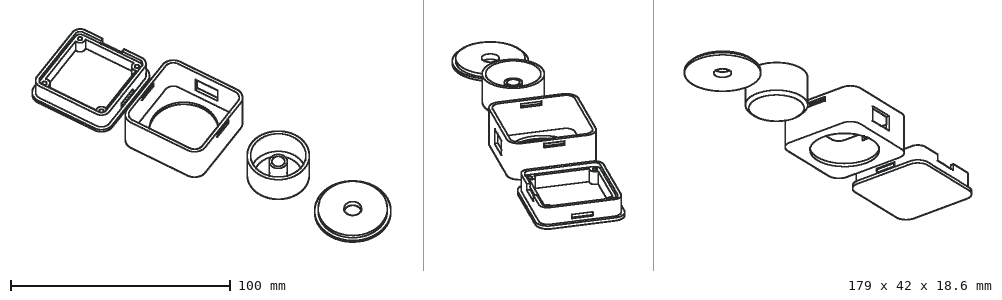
import cadquery as cq
wall = 1.6
case_side = 42.0
case_corner_radius = 5.8
inner_side = case_side - 2 * wall
inner_corner_radius = case_corner_radius - wall

snap_length = 10.0
snap_height = 2.1
snap_depth = 0.8
snap_z = 4.2
slot_length = 9.8
slot_height = 2.0
slot_z = 16.0

base_height = 10.2
ledge_z = 8.2
notch_z = 7.0
lip_inner_side = inner_side - 2 * wall
lip_inner_radius = inner_corner_radius - wall
pocket_side = lip_inner_side - 2 * wall
post_offset = 15.3
post_radius = 2.5
screw_hole_diameter = 2.0
notch_width = 11.4

housing_height = 18.6
housing_hole_diameter = 31.6
window_width = 12.0
window_height = 7.6
window_z = 9.4

knob_diameter = 28.4
knob_height = 16.0
knob_bore_diameter = knob_diameter - 2 * wall
knob_chamfer = wall
knob_post_diameter = 8.2
knob_post_hole_diameter = 5.8
knob_post_top_z = 11.6

disc_flange_diameter = 34.8
disc_boss_diameter = 31.6
disc_hole_diameter = 8.0
disc_bottom_z = 1.0
disc_flange_thickness = 1.2
disc_boss_thickness = 1.6

overall_length = 179.0
base_x = 0.0
housing_x = base_x + 50.0
knob_x = base_x + 100.6
disc_x = base_x - case_side / 2 + overall_length - disc_flange_diameter / 2
round_parts_y = 0.1


def rounded_block(side, radius, z_bottom, z_top):
    """Square block with rounded vertical edges, centred on the Z axis."""
    block = cq.Workplane("XY", origin=(0, 0, z_bottom)).rect(side, side).extrude(z_top - z_bottom)
    return block.edges("|Z").fillet(radius)


def cylinder(diameter, z_bottom, z_top):
    """Upright cylinder on the Z axis."""
    return cq.Workplane("XY", origin=(0, 0, z_bottom)).circle(diameter / 2).extrude(z_top - z_bottom)


def snap_ridge(side):
    """Triangular ridge along Y on the +X (side=1) or -X (side=-1) face of the base wall."""
    face_x = inner_side / 2
    buried_x = face_x - wall / 2
    return (
        cq.Workplane("XZ", origin=(0, snap_length / 2, 0))
        .moveTo(side * buried_x, snap_z - snap_height / 2)
        .lineTo(side * face_x, snap_z - snap_height / 2)
        .lineTo(side * (face_x + snap_depth), snap_z)
        .lineTo(side * face_x, snap_z + snap_height / 2)
        .lineTo(side * buried_x, snap_z + snap_height / 2)
        .close()
        .extrude(snap_length)
    )


def make_base():
    """Tray with a flange, a stepped rim, screw posts in the corners and snap ridges."""
    flange = rounded_block(case_side, case_corner_radius, 0, wall)
    base = flange.union(rounded_block(inner_side, inner_corner_radius, 0, base_height))
    base = base.cut(rounded_block(lip_inner_side, lip_inner_radius, ledge_z, base_height))

    corners = [(x * post_offset, y * post_offset) for x in (-1, 1) for y in (-1, 1)]
    pocket_depth = ledge_z - wall
    pocket = cq.Workplane("XY", origin=(0, 0, wall)).rect(pocket_side, pocket_side).extrude(pocket_depth)
    posts = cq.Workplane("XY", origin=(0, 0, wall)).pushPoints(corners).circle(post_radius).extrude(pocket_depth)
    base = base.cut(pocket.cut(posts))
    screw_holes = (
        cq.Workplane("XY", origin=(0, 0, wall))
        .pushPoints(corners)
        .circle(screw_hole_diameter / 2)
        .extrude(pocket_depth)
    )
    base = base.cut(screw_holes)

    notch = cq.Workplane("XY").box(notch_width, wall, base_height - notch_z, centered=(True, False, False))
    base = base.cut(notch.translate((0, lip_inner_side / 2, notch_z)))

    for side in (-1, 1):
        base = base.union(snap_ridge(side))
    return base


def make_housing():
    """Open-topped box with a round opening in its floor, snap slots and a window in the +Y wall."""
    housing = rounded_block(case_side, case_corner_radius, 0, housing_height)
    housing = housing.cut(rounded_block(inner_side, inner_corner_radius, wall, housing_height))
    housing = housing.cut(cylinder(housing_hole_diameter, 0, wall))
    slots = cq.Workplane("XY").box(case_side, slot_length, slot_height)
    housing = housing.cut(slots.translate((0, 0, slot_z)))
    window = cq.Workplane("XY").box(window_width, wall, window_height)
    return housing.cut(window.translate((0, (case_side - wall) / 2, window_z)))


def make_knob():
    """Cup with chamfered outer and inner bottom edges and a hollow shaft post."""
    cup = cylinder(knob_diameter, 0, knob_height).faces("<Z").chamfer(knob_chamfer)
    bore = cylinder(knob_bore_diameter, wall, knob_height).faces("<Z").chamfer(knob_chamfer)
    post = cylinder(knob_post_diameter, wall, knob_post_top_z)
    post_hole = cylinder(knob_post_hole_diameter, wall, knob_post_top_z)
    return cup.cut(bore).union(post).cut(post_hole)


def make_disc():
    """Flanged washer: a wide flange below a narrower boss, with a centre hole."""
    flange_top_z = disc_bottom_z + disc_flange_thickness
    disc_top_z = flange_top_z + disc_boss_thickness
    disc = cylinder(disc_flange_diameter, disc_bottom_z, flange_top_z)
    disc = disc.union(cylinder(disc_boss_diameter, flange_top_z, disc_top_z))
    return disc.cut(cylinder(disc_hole_diameter, disc_bottom_z, disc_top_z))


base = make_base().translate((base_x, 0, 0))
housing = make_housing().translate((housing_x, 0, 0))
knob = make_knob().translate((knob_x, round_parts_y, 0))
disc = make_disc().translate((disc_x, round_parts_y, 0))

result = cq.Compound.makeCompound([base.val(), housing.val(), knob.val(), disc.val()])